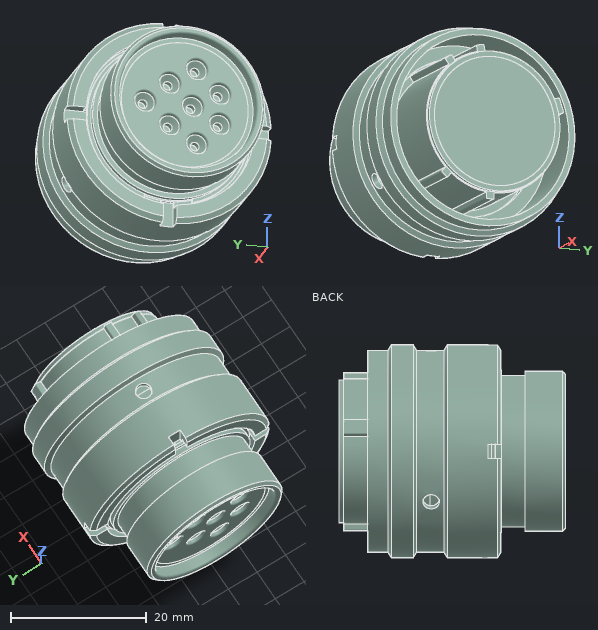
import cadquery as cq
length = 33.37
coupling_radius = 15.7

flange_radius = 11.8
flange_chamfer = 0.47
flange_end = 6.0
neck_radius = 11.18
bearing_radius = 11.95
collar_start = 9.4
collar_end = 10.3
bearing_start = 10.88
barrel_radius = 10.7
barrel_start = 20.0
barrel_end = 32.67
tip_radius = 10.55
entry_radius = 10.48
entry_rounding = 0.37
entry_depth = 1.95

key_top_radius = 11.68
key_root_depth = 0.35
key_root_radius = barrel_radius - key_root_depth
key_fillet = 0.2
narrow_key_width = 1.25
wide_key_width = 2.35
narrow_key_angles = [10.0, 38.0, 138.0, 178.0]
wide_key_angle = 288.0

coupling_start = 9.5
coupling_end = 29.13
groove_radius = 14.88
chamfer_run = 0.5
front_band_end = 17.92
rear_band_start = 21.92
rear_band_end = 26.15
front_bore_radius = 12.9
front_bore_end = bearing_start
cavity_radius = 13.9
web_start = barrel_start
web_thickness = 1.35
web_end = web_start + web_thickness
slot_width = 2.05
slot_end = 11.45
slot_count = 4
sight_hole_radius = 1.2
sight_hole_x = 19.8
sight_hole_count = 3

retainer_radius = 12.48
retainer_start = 10.4
retainer_end = front_bore_end
retainer_gap = 7.4

insert_radius = 9.75
contact_places = [
    (6.05, 0.0),
    (2.2, 3.27),
    (2.2, -3.27),
    (-1.3, 0.0),
    (-1.95, 5.85),
    (-1.95, -5.85),
    (-5.47, 2.37),
    (-5.47, -2.37),
]
cavity_wall_radius = 1.57
mouth_rounding = 0.27
wire_hole_radius = 0.67
cavity_wall_end = 0.75
cavity_cone_end = 1.45
wire_hole_depth = 2.67


def turned(outline):
    """Revolve an outline of (x, radius) points about the X axis."""
    return cq.Workplane("XZ").polyline(outline).close().revolve(360, (0, 0, 0), (1, 0, 0))


def tube(start, end, outer, inner):
    """Plain ring about the X axis."""
    return turned([(start, inner), (end, inner), (end, outer), (start, outer)])


def around_axis(body, angle):
    """Turn a body about X, from +Z toward -Y for a positive angle."""
    return body.rotate((0, 0, 0), (1, 0, 0), angle)


def make_key(width, angle):
    """Straight key along the mating barrel with its two outer edges rounded."""
    height = key_top_radius - key_root_radius
    key = (
        cq.Workplane("XY")
        .box(barrel_end - barrel_start, width, height, centered=(False, True, False))
        .edges("|X and >Z")
        .fillet(key_fillet)
        .translate((barrel_start, 0, key_root_radius))
    )
    return around_axis(key, angle)


def make_shell():
    body = turned(
        [
            (0, entry_radius),
            (0, flange_radius - flange_chamfer),
            (flange_chamfer, flange_radius),
            (flange_end, flange_radius),
            (flange_end, neck_radius),
            (collar_start, neck_radius),
            (collar_start, bearing_radius),
            (collar_end, bearing_radius),
            (collar_end, neck_radius),
            (bearing_start, neck_radius),
            (bearing_start, bearing_radius),
            (barrel_start, bearing_radius),
            (barrel_start, barrel_radius),
            (barrel_end, barrel_radius),
            (barrel_end, tip_radius),
            (length, tip_radius),
            (length, insert_radius),
            (entry_depth, insert_radius),
            (entry_depth, entry_radius),
        ]
    )
    bore_edge = cq.selectors.RadiusNthSelector(0)
    body = body.faces("<X").edges(bore_edge).fillet(entry_rounding)
    for angle in narrow_key_angles:
        body = body.union(make_key(narrow_key_width, angle))
    return body.union(make_key(wide_key_width, wide_key_angle))


def make_coupling_ring():
    ring = turned(
        [
            (coupling_start, front_bore_radius),
            (coupling_start, groove_radius),
            (coupling_start + chamfer_run, coupling_radius),
            (front_band_end - chamfer_run, coupling_radius),
            (front_band_end, groove_radius),
            (rear_band_start, groove_radius),
            (rear_band_start + chamfer_run, coupling_radius),
            (rear_band_end - chamfer_run, coupling_radius),
            (rear_band_end, groove_radius),
            (coupling_end, groove_radius),
            (coupling_end, cavity_radius),
            (web_end, cavity_radius),
            (web_end, bearing_radius),
            (web_start, bearing_radius),
            (web_start, cavity_radius),
            (front_band_end, cavity_radius),
            (front_band_end, bearing_radius),
            (front_bore_end, bearing_radius),
            (front_bore_end, front_bore_radius),
        ]
    )
    slot = (
        cq.Workplane("XY")
        .box(slot_end - coupling_start, slot_width, coupling_radius, centered=(False, True, False))
        .translate((coupling_start, 0, bearing_radius))
    )
    for i in range(slot_count):
        ring = ring.cut(around_axis(slot, i * 360 / slot_count))
    sight_hole = (
        cq.Workplane("XY", origin=(sight_hole_x, 0, cavity_radius))
        .circle(sight_hole_radius)
        .extrude(coupling_radius - cavity_radius)
    )
    for i in range(sight_hole_count):
        ring = ring.cut(around_axis(sight_hole, i * 360 / sight_hole_count))
    return ring


def make_retaining_ring():
    """Snap ring, open at the bottom."""
    ring = tube(retainer_start, retainer_end, retainer_radius, neck_radius)
    gap = (
        cq.Workplane("XY")
        .box(retainer_end - retainer_start, retainer_gap, retainer_radius, centered=(False, True, False))
        .translate((retainer_start, 0, -retainer_radius))
    )
    return ring.cut(gap)


def make_insert():
    body = (
        cq.Workplane("YZ", origin=(entry_depth, 0, 0))
        .circle(insert_radius)
        .extrude(length - entry_depth)
    )
    contact_cavity = turned(
        [
            (0, 0),
            (0, cavity_wall_radius),
            (cavity_wall_end, cavity_wall_radius),
            (cavity_cone_end, wire_hole_radius),
            (wire_hole_depth, wire_hole_radius),
            (wire_hole_depth, 0),
        ]
    )
    for y, z in contact_places:
        body = body.cut(contact_cavity.translate((entry_depth, y, z)))
    mouth_edges = cq.selectors.RadiusNthSelector(0)
    return body.faces("<X").edges(mouth_edges).fillet(mouth_rounding)


shell = make_shell()
coupling_ring = make_coupling_ring()
retaining_ring = make_retaining_ring()
insert = make_insert()

result = cq.Compound.makeCompound(
    [shell.val(), coupling_ring.val(), retaining_ring.val(), insert.val()]
)